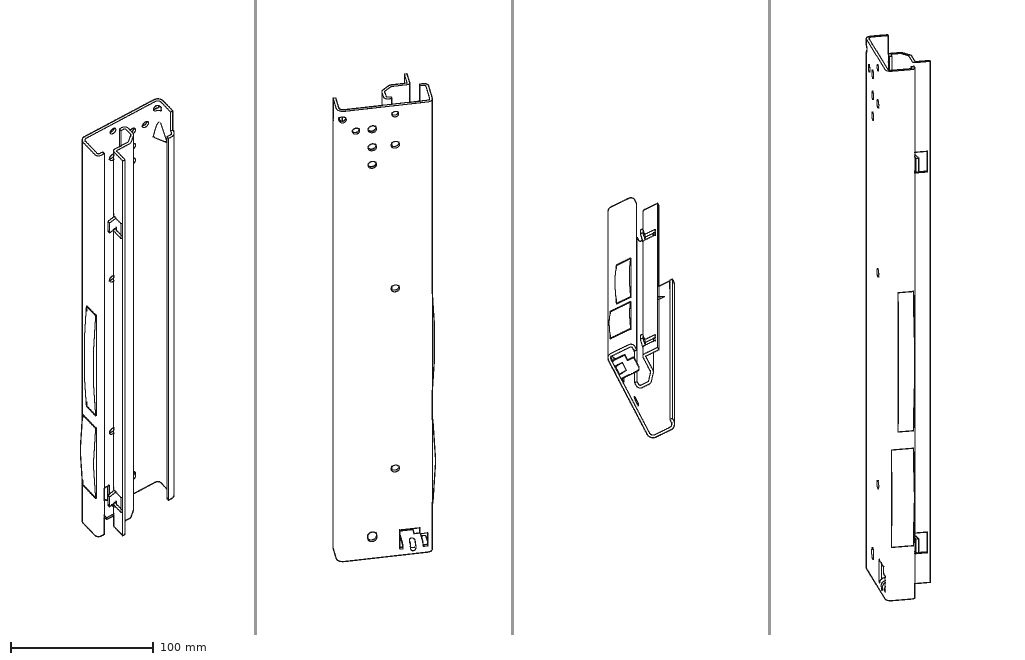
import cadquery as cq
import math

LENGTH = 400.0
THICKNESS = 2.0

OVERALL_WIDTH = 71.0
PAD_HEIGHT = 2.2
WEB_WIDTH = OVERALL_WIDTH - PAD_HEIGHT
FLANGE_DEPTH = 21.0
BACK_LIP = 7.0
BACK_FLANGE_CUT_X = 16.5
BACK_FLANGE_CUT_LENGTH = 20.0
FRONT_LIP = 6.0
BACK_BEND_RADIUS = 5.0
FRONT_BEND_RADIUS = 4.0
FRONT_LIP_BEND_RADIUS = 3.0

HOLE_ROW_Y = 43.5
RAIL_SIDE_ROW_Y = 27.0
TOP_ROW_Z = 392.5
WEB_HOLES = [
    (55.0, 381.0, 5.0),
    (HOLE_ROW_Y, 381.0, 6.0),
    (HOLE_ROW_Y, 365.0, 6.0),
    (HOLE_ROW_Y, 349.5, 6.0),
    (RAIL_SIDE_ROW_Y, TOP_ROW_Z, 5.0),
    (RAIL_SIDE_ROW_Y, 365.0, 6.0),
    (RAIL_SIDE_ROW_Y, 237.5, 6.0),
    (RAIL_SIDE_ROW_Y, 77.5, 6.0),
]
WEB_SLOT_Y = HOLE_ROW_Y
WEB_SLOT_Z = 19.0
WEB_SLOT_WIDTH = 6.5
WEB_SLOT_LENGTH = 8.5
CORNER_HOLE_Y = 65.0
CORNER_HOLE_DIAMETER = 5.0

CORNER_WEDGE_X = 10.5
CORNER_WEDGE_Y = 5.0
CORNER_WEDGE_HEIGHT = 16.0
CORNER_WEDGE_TOP_SHARE = 0.1

PAD_EDGE_HEIGHT = 0.5
PAD_RIGHT = 19.5
LONG_PAD = {"left": 8.5, "levels": (127.0, 161.0, 197.0, 232.5)}
SHORT_PAD = {"left": 3.5, "levels": (40.5, 74.5, 80.5, 114.0)}

WINDOW_BOTTOM = 5.5
WINDOW_TOP = 22.5
WINDOW_STEP_TOP = 17.0
WINDOW_FRONT = FRONT_BEND_RADIUS
WINDOW_STEP_Y = 9.5
WINDOW_BACK = 24.0
TAB_FRONT = 7.0
TAB_BACK = 21.5
TAB_STEP_Y = 11.5
TAB_REACH = 16.0
TAB_SHORT_REACH = 11.0
TAB_TOP = 9.0
TAB_CORNER_RADIUS = 2.0
RIB_WIDTH = 6.5
RIB_LEG = 7.0
DENT_RADIUS = 2.0

RAIL_BOTTOM = 6.5
RAIL_HOOK_X = 8.5
RAIL_HOOK_TIP_Y = 28.0
RAIL_CREST_Y = 33.5
RAIL_CREST_END_X = 18.5
RAIL_WALL_X = 24.0
RAIL_SHOULDER_Y = 27.0
RAIL_FIN_Y = 14.5
RAIL_FIN_END_X = 34.5
RAIL_BEND_RADIUS = 3.0
RAIL_FOLD_RADIUS = THICKNESS
CLIP_LEVELS = (37.0, 324.5)
CLIP_WINDOW_HEIGHT = 15.5
CLIP_WINDOW_END_X = 32.5
CLIP_HEIGHT = 10.5
CLIP_TIP_Y = 7.5
CLIP_TIP_X = 25.0


def mitred_offset(points, distance):
    """Open polyline moved sideways to its left by a distance, with mitred corners."""
    normals = []
    for (x0, y0), (x1, y1) in zip(points, points[1:]):
        span = math.hypot(x1 - x0, y1 - y0)
        normals.append(((y0 - y1) / span, (x1 - x0) / span))
    before = [normals[0]] + normals
    after = normals + [normals[-1]]
    moved = []
    for (x, y), (ax, ay), (bx, by) in zip(points, before, after):
        stretch = distance / (1 + ax * bx + ay * by)
        moved.append((x + (ax + bx) * stretch, y + (ay + by) * stretch))
    return moved


def bent_sheet(path, bend_radii, bottom, top):
    """Sheet standing along Z, with its thickness to the left of the path.

    Each bend radius is the larger, convex one; the concave side is smaller by the thickness.
    """
    other_side = mitred_offset(path, THICKNESS)
    sheet = (
        cq.Workplane("XY", origin=(0, 0, bottom))
        .polyline(path + other_side[::-1])
        .close()
        .extrude(top - bottom)
    )
    middle = (bottom + top) / 2
    for i, radius in enumerate(bend_radii, start=1):
        (x0, y0), (x1, y1), (x2, y2) = path[i - 1:i + 2]
        turns_left = (x1 - x0) * (y2 - y1) - (y1 - y0) * (x2 - x1) > 0
        convex, concave = (path[i], other_side[i]) if turns_left else (other_side[i], path[i])
        for corner, size in ((convex, radius), (concave, radius - THICKNESS)):
            if size > 0:
                edge = cq.selectors.NearestToPointSelector((*corner, middle))
                sheet = sheet.edges("|Z").edges(edge).fillet(size)
    return sheet


def box_between(x, y, z):
    """Box spanning the given (low, high) pairs."""
    size = [high - low for low, high in (x, y, z)]
    return cq.Workplane("XY").box(*size, centered=False).translate((x[0], y[0], z[0]))


def web_hole(y, z, diameter, depth):
    """Drill along X, starting at the outer face of the web."""
    return cq.Workplane("YZ").center(y, z).circle(diameter / 2).extrude(depth)


def pad(left, levels):
    """Raised pad on the outer face of the front flange."""
    start, flat_start, flat_end, end = levels
    return (
        cq.Workplane("YZ", origin=(left, 0, 0))
        .moveTo(THICKNESS / 2, start)
        .lineTo(-PAD_EDGE_HEIGHT, start)
        .lineTo(-PAD_HEIGHT, flat_start)
        .lineTo(-PAD_HEIGHT, flat_end)
        .lineTo(-PAD_EDGE_HEIGHT, end)
        .lineTo(THICKNESS / 2, end)
        .close()
        .extrude(PAD_RIGHT - left)
    )


def corner_wedge():
    """Tapered wedge between the back flange and the web, widening downward."""
    top = LENGTH - BACK_FLANGE_CUT_LENGTH
    flange_face = WEB_WIDTH - THICKNESS

    def triangle(work, share):
        reach_x = THICKNESS + CORNER_WEDGE_X * share
        reach_y = flange_face - CORNER_WEDGE_Y * share
        buried = THICKNESS / 2
        return work.polyline([
            (buried, reach_y),
            (THICKNESS, reach_y),
            (reach_x, flange_face),
            (reach_x, flange_face + buried),
            (THICKNESS, flange_face + buried),
            (buried, flange_face),
        ]).close()

    base = triangle(cq.Workplane("XY", origin=(0, 0, top - CORNER_WEDGE_HEIGHT)), 1)
    tip = triangle(base.workplane(offset=CORNER_WEDGE_HEIGHT), CORNER_WEDGE_TOP_SHARE)
    return tip.loft(ruled=True, combine=True)


def tab_window():
    """Stepped opening that the stop tab leaves in the web."""
    return (
        cq.Workplane("YZ")
        .moveTo(WINDOW_FRONT, WINDOW_BOTTOM)
        .lineTo(WINDOW_BACK, WINDOW_BOTTOM)
        .lineTo(WINDOW_BACK, WINDOW_TOP)
        .lineTo(WINDOW_STEP_Y, WINDOW_TOP)
        .lineTo(WINDOW_STEP_Y, WINDOW_STEP_TOP)
        .lineTo(WINDOW_FRONT, WINDOW_STEP_TOP)
        .close()
        .extrude(THICKNESS)
    )


def stop_tab():
    """Tab rising from the window's bottom edge and folded inward, with a dented rib in the fold."""
    underside = TAB_TOP - THICKNESS
    fold_radius = TAB_TOP - WINDOW_BOTTOM
    section = (
        cq.Workplane("XZ", origin=(0, TAB_BACK, 0))
        .moveTo(0, WINDOW_BOTTOM)
        .radiusArc((fold_radius, TAB_TOP), fold_radius)
        .lineTo(TAB_REACH, TAB_TOP)
        .lineTo(TAB_REACH, underside)
        .lineTo(fold_radius, underside)
        .radiusArc((THICKNESS, WINDOW_BOTTOM), THICKNESS - fold_radius)
        .close()
        .extrude(TAB_BACK - TAB_FRONT)
    )
    step = box_between((TAB_SHORT_REACH, TAB_REACH), (TAB_FRONT, TAB_STEP_Y), (underside, TAB_TOP))
    tab = section.cut(step)
    tip_corner = cq.selectors.NearestToPointSelector((TAB_REACH, TAB_BACK, TAB_TOP - THICKNESS / 2))
    tab = tab.edges("|Z").edges(tip_corner).fillet(TAB_CORNER_RADIUS)

    rib_middle = (TAB_FRONT + TAB_BACK) / 2
    rib = (
        cq.Workplane("XZ", origin=(0, rib_middle + RIB_WIDTH / 2, 0))
        .moveTo(THICKNESS / 2, underside - RIB_LEG / 2)
        .lineTo(fold_radius + RIB_LEG / 2, underside)
        .lineTo(fold_radius, underside + THICKNESS / 2)
        .lineTo(THICKNESS / 2, WINDOW_BOTTOM)
        .close()
        .extrude(RIB_WIDTH)
    )
    return tab.union(rib)


def fold_dent():
    """Groove pressed at 45 degrees into the outside of the stop tab's fold."""
    middle_y = (TAB_FRONT + TAB_BACK) / 2
    start = cq.Vector(0, middle_y, WINDOW_BOTTOM) - cq.Vector(RIB_LEG, 0, RIB_LEG)
    along = cq.Vector(1, 0, 1)
    return cq.Workplane(cq.Solid.makeCylinder(DENT_RADIUS, 4 * RIB_LEG, start, along))


def make_channel():
    path = [
        (FLANGE_DEPTH, WEB_WIDTH - BACK_LIP),
        (FLANGE_DEPTH, WEB_WIDTH),
        (0, WEB_WIDTH),
        (0, 0),
        (FLANGE_DEPTH, 0),
        (FLANGE_DEPTH, FRONT_LIP),
    ]
    radii = [BACK_BEND_RADIUS, BACK_BEND_RADIUS, FRONT_BEND_RADIUS, FRONT_LIP_BEND_RADIUS]
    channel = bent_sheet(path, radii, 0, LENGTH)

    for shape in (LONG_PAD, SHORT_PAD):
        channel = channel.union(pad(**shape))
    channel = channel.union(corner_wedge())

    for y, z, diameter in WEB_HOLES:
        channel = channel.cut(web_hole(y, z, diameter, THICKNESS))
    slot = (
        cq.Workplane("YZ")
        .center(WEB_SLOT_Y, WEB_SLOT_Z)
        .slot2D(WEB_SLOT_LENGTH, WEB_SLOT_WIDTH, 90)
        .extrude(THICKNESS)
    )
    channel = channel.cut(slot)
    corner_hole = web_hole(CORNER_HOLE_Y, TOP_ROW_Z, CORNER_HOLE_DIAMETER, BACK_BEND_RADIUS)
    channel = channel.cut(corner_hole)

    flange_cut = box_between(
        (BACK_FLANGE_CUT_X, FLANGE_DEPTH),
        (WEB_WIDTH - BACK_LIP, WEB_WIDTH),
        (LENGTH - BACK_FLANGE_CUT_LENGTH, LENGTH),
    )
    channel = channel.cut(flange_cut)

    return channel.cut(tab_window()).union(stop_tab()).cut(fold_dent())


def clip(level):
    """Slanted clip that continues the rail's wall past the fin."""
    return (
        cq.Workplane("XY", origin=(0, 0, level - CLIP_HEIGHT / 2))
        .polyline([
            (RAIL_WALL_X - THICKNESS, RAIL_FIN_Y),
            (RAIL_WALL_X, RAIL_FIN_Y),
            (CLIP_TIP_X, CLIP_TIP_Y),
            (CLIP_TIP_X - THICKNESS, CLIP_TIP_Y),
        ])
        .close()
        .extrude(CLIP_HEIGHT)
    )


def make_rail():
    path = [
        (RAIL_FIN_END_X, RAIL_FIN_Y),
        (RAIL_WALL_X, RAIL_FIN_Y),
        (RAIL_WALL_X, RAIL_SHOULDER_Y),
        (RAIL_CREST_END_X, RAIL_CREST_Y),
        (RAIL_HOOK_X, RAIL_CREST_Y),
        (RAIL_HOOK_X, RAIL_HOOK_TIP_Y),
    ]
    radii = [RAIL_FOLD_RADIUS] + [RAIL_BEND_RADIUS] * 3
    rail = bent_sheet(path, radii, RAIL_BOTTOM, LENGTH)
    for level in CLIP_LEVELS:
        window = box_between(
            (RAIL_WALL_X - THICKNESS, CLIP_WINDOW_END_X),
            (RAIL_FIN_Y - THICKNESS, RAIL_FIN_Y),
            (level - CLIP_WINDOW_HEIGHT / 2, level + CLIP_WINDOW_HEIGHT / 2),
        )
        rail = rail.cut(window).union(clip(level))
    return rail


channel = make_channel()
rail = make_rail()

result = cq.Compound.makeCompound([channel.solids().val(), rail.solids().val()])